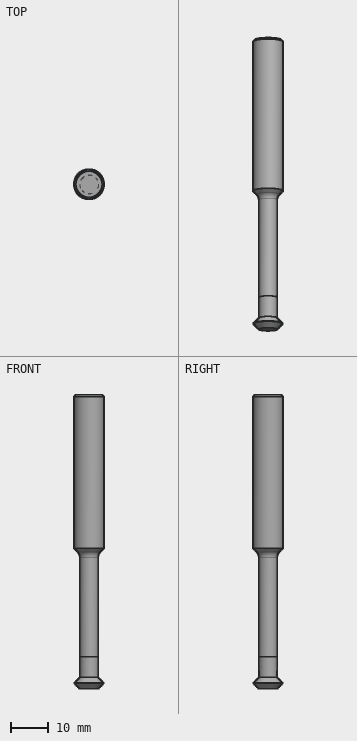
import cadquery as cq
import math

TOTAL_LENGTH = 78.0
SHANK_RADIUS = 8.0 / 2
SHANK_CHAMFER = 0.55
SHANK_BOTTOM_Z = 37.3

NECK_RADIUS = 5.0 / 2
NECK_ARC_RADIUS = 2.0
CONE_ANGLE = math.radians(45)

JOINT_Z = 8.6
TIP_RADIUS = 4.9 / 2
HEAD_RADIUS = 7.8 / 2
HEAD_RIM_HEIGHT = 0.15
HEAD_BEVEL = HEAD_RADIUS - TIP_RADIUS


def neck_arc_point(center_r, center_z, angle):
    """Point on the neck arc, at an angle measured from its tangency with the neck."""
    r = center_r - NECK_ARC_RADIUS * math.cos(angle)
    z = center_z + NECK_ARC_RADIUS * math.sin(angle)
    return r, z


def revolve_about_z(profile):
    """Turn a closed (radius, z) profile around the Z axis."""
    return profile.close().revolve(360, (0, 0, 0), (0, 1, 0))


def make_holder():
    """Chamfered shank, conical shoulder and slender neck."""
    arc_top_r = NECK_RADIUS + NECK_ARC_RADIUS * (1 - math.cos(CONE_ANGLE))
    arc_top_z = SHANK_BOTTOM_Z - (SHANK_RADIUS - arc_top_r) / math.tan(CONE_ANGLE)
    center_r = NECK_RADIUS + NECK_ARC_RADIUS
    center_z = arc_top_z - NECK_ARC_RADIUS * math.sin(CONE_ANGLE)
    profile = (
        cq.Workplane("XZ")
        .moveTo(0, JOINT_Z)
        .lineTo(NECK_RADIUS, JOINT_Z)
        .lineTo(NECK_RADIUS, center_z)
        .threePointArc(neck_arc_point(center_r, center_z, CONE_ANGLE / 2), (arc_top_r, arc_top_z))
        .lineTo(SHANK_RADIUS, SHANK_BOTTOM_Z)
        .lineTo(SHANK_RADIUS, TOTAL_LENGTH - SHANK_CHAMFER)
        .lineTo(SHANK_RADIUS - SHANK_CHAMFER, TOTAL_LENGTH)
        .lineTo(0, TOTAL_LENGTH)
    )
    return revolve_about_z(profile)


def make_cutter_tip():
    """Double-bevelled cutting head on a stem that widens slightly to meet the neck."""
    rim_top_z = HEAD_BEVEL + HEAD_RIM_HEIGHT
    profile = (
        cq.Workplane("XZ")
        .lineTo(TIP_RADIUS, 0)
        .lineTo(HEAD_RADIUS, HEAD_BEVEL)
        .lineTo(HEAD_RADIUS, rim_top_z)
        .lineTo(TIP_RADIUS, rim_top_z + HEAD_BEVEL)
        .lineTo(NECK_RADIUS, JOINT_Z)
        .lineTo(0, JOINT_Z)
    )
    return revolve_about_z(profile)


holder = make_holder()
cutter_tip = make_cutter_tip()

result = cq.Compound.makeCompound([holder.val(), cutter_tip.val()])